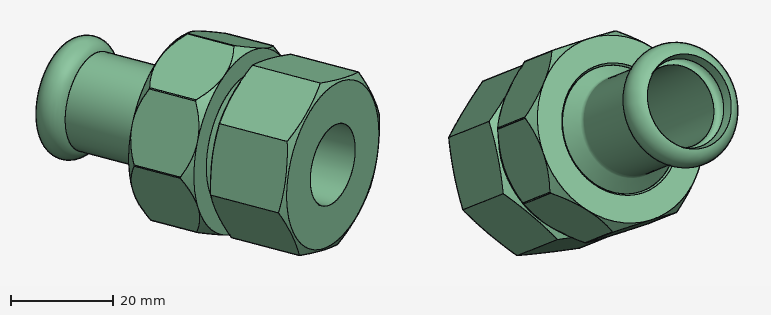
import cadquery as cq
import math


LENGTH = 62.2
NUT_START = 26.8
NUT_END = 41.85
LIP_DEPTH = 3.05
FLANGE_THICKNESS = 2.5
OCTAGON_START = 44.8
SEAT = NUT_START + LIP_DEPTH
JOINT = SEAT + FLANGE_THICKNESS

TUBE_RADIUS = 10.1
TAIL_BORE_RADIUS = 8.35
BEAD_RADIUS = 12.5
BEAD_ROUND = 3.5
MOUTH_RADIUS = 9.5
LEAD_IN_DEPTH = 2.0
LEAD_IN_END_RADIUS = 8.95
FLARE_START = 24.0
FLARE_ANGLE = math.radians(41)
FLARE_FILLET = 1.2

SIDES = 8
NUT_APOTHEM = 18.8
NUT_CORNER_RADIUS = 20.3
NUT_FACE_RADIUS = NUT_APOTHEM
NUT_CHAMFER = 2.2
NUT_TURN = 0.9
LIP_BORE_RADIUS = 12.9
LIP_CHAMFER = 0.4
THREAD_RADIUS = 14.2

NECK_RADIUS = 11.65
SHANK_CHAMFER = 0.9
BODY_BORE_RADIUS = TAIL_BORE_RADIUS
OCTAGON_APOTHEM = 17.55
OCTAGON_CORNER_RADIUS = OCTAGON_APOTHEM / math.cos(math.pi / SIDES)
OCTAGON_FACE_RADIUS = 17.1
OCTAGON_CHAMFER = 0.9
OCTAGON_TURN = 9.7


def revolve_about_x(profile):
    """Revolve a closed profile of (x, radius) points around the X axis."""
    return profile.revolve(360, (0, 0, 0), (1, 0, 0))


def cylinder(start, end, radius):
    """Cylinder along X between two positions."""
    return cq.Workplane("YZ").workplane(offset=start).circle(radius).extrude(end - start)


def chamfered_octagon(start, end, apothem, face_radius, corner_radius, chamfer, turn):
    """Octagonal prism along X whose corners are turned off conically at both ends."""
    corner_diameter = 2 * apothem / math.cos(math.pi / SIDES)
    prism = (
        cq.Workplane("YZ")
        .workplane(offset=start)
        .polygon(SIDES, corner_diameter)
        .extrude(end - start)
        .rotate((0, 0, 0), (1, 0, 0), turn)
    )
    turned_blank = revolve_about_x(
        cq.Workplane("XY")
        .moveTo(start, 0)
        .lineTo(start, face_radius)
        .lineTo(start + chamfer, corner_radius)
        .lineTo(end - chamfer, corner_radius)
        .lineTo(end, face_radius)
        .lineTo(end, 0)
        .close()
    )
    return prism.intersect(turned_blank)


def make_tail():
    """Beaded tube that flares out to the flange held by the nut."""
    bead_center_radius = BEAD_RADIUS - BEAD_ROUND
    bead_center = math.sqrt(BEAD_ROUND**2 - (MOUTH_RADIUS - bead_center_radius) ** 2)
    bead_end = bead_center + math.sqrt(BEAD_ROUND**2 - (TUBE_RADIUS - bead_center_radius) ** 2)

    fillet_start = FLARE_START - FLARE_FILLET * math.tan(FLARE_ANGLE / 2)
    fillet_middle = (
        fillet_start + FLARE_FILLET * math.sin(FLARE_ANGLE / 2),
        TUBE_RADIUS + FLARE_FILLET * (1 - math.cos(FLARE_ANGLE / 2)),
    )
    fillet_end = (
        fillet_start + FLARE_FILLET * math.sin(FLARE_ANGLE),
        TUBE_RADIUS + FLARE_FILLET * (1 - math.cos(FLARE_ANGLE)),
    )
    flare_end = FLARE_START + (LIP_BORE_RADIUS - TUBE_RADIUS) / math.tan(FLARE_ANGLE)

    groove_round = math.hypot(bead_center - LEAD_IN_DEPTH, bead_center_radius - LEAD_IN_END_RADIUS)
    groove_end = bead_center + math.sqrt(groove_round**2 - (bead_center_radius - TAIL_BORE_RADIUS) ** 2)
    groove_bottom = (bead_center, bead_center_radius + groove_round)

    return revolve_about_x(
        cq.Workplane("XY")
        .moveTo(0, MOUTH_RADIUS)
        .threePointArc((bead_center, BEAD_RADIUS), (bead_end, TUBE_RADIUS))
        .lineTo(fillet_start, TUBE_RADIUS)
        .threePointArc(fillet_middle, fillet_end)
        .lineTo(flare_end, LIP_BORE_RADIUS)
        .lineTo(SEAT, LIP_BORE_RADIUS)
        .lineTo(SEAT, THREAD_RADIUS)
        .lineTo(JOINT, THREAD_RADIUS)
        .lineTo(JOINT, TAIL_BORE_RADIUS)
        .lineTo(groove_end, TAIL_BORE_RADIUS)
        .threePointArc(groove_bottom, (LEAD_IN_DEPTH, LEAD_IN_END_RADIUS))
        .close()
    )


def make_nut():
    """Octagonal union nut with an inward lip at the tail end."""
    blank = chamfered_octagon(
        NUT_START,
        NUT_END,
        NUT_APOTHEM,
        NUT_FACE_RADIUS,
        NUT_CORNER_RADIUS,
        NUT_CHAMFER,
        NUT_TURN,
    )
    lip_bore = revolve_about_x(
        cq.Workplane("XY")
        .moveTo(NUT_START, 0)
        .lineTo(NUT_START, LIP_BORE_RADIUS + LIP_CHAMFER)
        .lineTo(NUT_START + LIP_CHAMFER, LIP_BORE_RADIUS)
        .lineTo(SEAT, LIP_BORE_RADIUS)
        .lineTo(SEAT, 0)
        .close()
    )
    thread_bore = cylinder(SEAT, NUT_END, THREAD_RADIUS)
    return blank.cut(lip_bore).cut(thread_bore).solids()


def make_threaded_body():
    """Shank inside the nut, a narrower neck and a chamfered octagonal end, bored through."""
    shank = revolve_about_x(
        cq.Workplane("XY")
        .moveTo(JOINT, 0)
        .lineTo(JOINT, THREAD_RADIUS)
        .lineTo(NUT_END, THREAD_RADIUS)
        .lineTo(NUT_END + SHANK_CHAMFER, NECK_RADIUS)
        .lineTo(OCTAGON_START, NECK_RADIUS)
        .lineTo(OCTAGON_START, 0)
        .close()
    )
    octagon = chamfered_octagon(
        OCTAGON_START,
        LENGTH,
        OCTAGON_APOTHEM,
        OCTAGON_FACE_RADIUS,
        OCTAGON_CORNER_RADIUS,
        OCTAGON_CHAMFER,
        OCTAGON_TURN,
    )
    bore = cylinder(JOINT, LENGTH, BODY_BORE_RADIUS)
    return shank.union(octagon).cut(bore).solids()


tail = make_tail()
nut = make_nut()
threaded_body = make_threaded_body()

result = cq.Compound.makeCompound([tail.val(), nut.val(), threaded_body.val()])